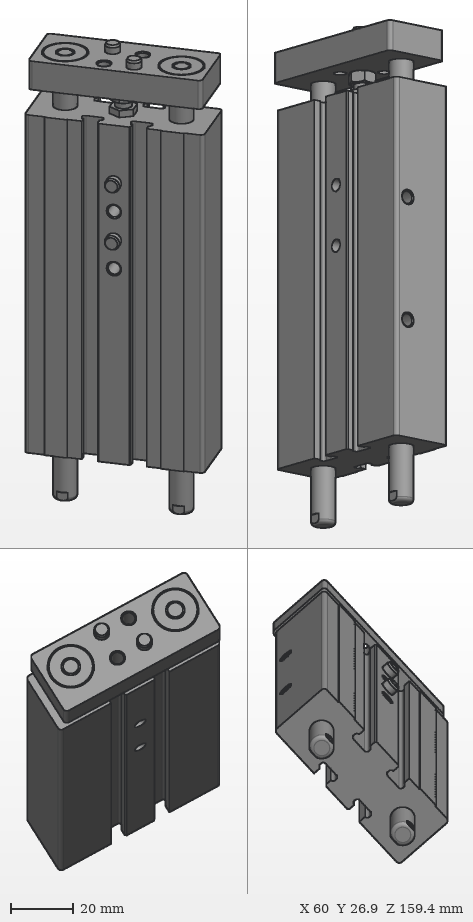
import cadquery as cq
import math


total_height = 159.4
housing_bottom = 19.0
housing_height = 118.8
housing_top = housing_bottom + housing_height

pin_diameter = 5.0
pin_projection = 3.0
pin_depth = 5.0
pin_chamfer = 0.4
pin_chamfer_length = 0.8
hole_diameter = 4.1
hole_pitch = 10.0
hole_chamfer = (pin_diameter - hole_diameter) / 2

housing_width = 60.0
housing_half_depth = 11.0
corner_radius = 1.3
band_width = 7.7
band_height = 0.3
rib_half_width = 5.5
rib_chamfer = 0.5
slot_outer_x = 10.8
slot_center_x = (rib_half_width + slot_outer_x) / 2
slot_width = slot_outer_x - rib_half_width
slot_depth = 5.0
slot_lip = 2.5
slot_undercut = 1.0
slot_corner_radius = 1.0

row_drop = 20.2
side_hole_y = 6.0
side_hole_heights = (57.9, 98.5)
side_hole_depth = 7.5
drill_point_angle = 118.0

plate_width = 58.0
plate_back = 12.9
plate_front = -9.9
plate_thickness = 10.0
plate_top = total_height - pin_projection
plate_bottom = plate_top - plate_thickness

stud_diameter = 5.5
hex_flats = 8.0
hex_corners = hex_flats / math.cos(math.pi / 6)
nut_height = 4.0
nut_face_diameter = 7.5
nut_chamfer_height = 0.5
collar_height = 2.4

rod_x = 19.5
rod_diameter = 8.0
rod_foot_radius = 1.5
flat_distance = 7.0
flat_height = 3.3
head_diameter = 14.0
head_seat_diameter = 15.0
head_height = 5.0
end_mark_outer = 6.0
end_mark_inner = 5.0

rod_positions = (-rod_x, rod_x)
row_heights = [housing_top - row_drop - i * hole_pitch for i in range(4)]
front_pin_heights = row_heights[0::2]
front_hole_heights = row_heights[1::2]
half_pitch = hole_pitch / 2
plate_pin_points = [(-half_pitch, half_pitch), (half_pitch, -half_pitch)]
plate_hole_points = [(-half_pitch, -half_pitch), (half_pitch, half_pitch)]
down = cq.Vector(0, 0, -1)
inward_x = cq.Vector(1, 0, 0)
inward_y = cq.Vector(0, 1, 0)


def cylinder(diameter, length, start, direction):
    """A cylinder that runs from start along direction."""
    return cq.Workplane(cq.Solid.makeCylinder(diameter / 2, length, start, direction))


def cone(diameter, end_diameter, length, start, direction):
    """A cone from start along direction."""
    return cq.Workplane(cq.Solid.makeCone(diameter / 2, end_diameter / 2, length, start, direction))


def chamfered_hole(depth, start, direction):
    """The cutter for a plain hole with a small countersink at its mouth."""
    countersink = cone(pin_diameter, hole_diameter, hole_chamfer, start, direction)
    return cylinder(hole_diameter, depth, start, direction).union(countersink)


def locating_pin(surface_point, direction):
    """A pin sunk pin_depth along direction, with a chamfered tip outside."""
    tip = surface_point - direction * pin_projection
    shoulder = tip + direction * pin_chamfer_length
    tip_diameter = pin_diameter - 2 * pin_chamfer
    shank_length = pin_projection + pin_depth - pin_chamfer_length
    shank = cylinder(pin_diameter, shank_length, shoulder, direction)
    return shank.union(cone(tip_diameter, pin_diameter, pin_chamfer_length, tip, direction)).val()


def housing_box(width, depth, x, y):
    """A bar of the full housing height, centred on x and y."""
    bar = cq.Workplane("XY", origin=(x, y, housing_bottom))
    return bar.rect(width, depth).extrude(housing_height)


def t_slot(side_x, side_y):
    """The cutter for a full-length T-slot on the side_x half of the side_y face."""
    x = side_x * slot_center_x
    mouth = housing_box(slot_width, slot_depth, x, side_y * (housing_half_depth - slot_depth / 2))
    cavity_depth = slot_depth - slot_lip
    cavity_y = side_y * (housing_half_depth - slot_lip - cavity_depth / 2)
    cavity = housing_box(slot_width + 2 * slot_undercut, cavity_depth, x, cavity_y)
    cavity = cavity.edges("|Z").fillet(slot_corner_radius)
    rib_x = side_x * rib_half_width
    face_y = side_y * housing_half_depth
    rib_corner = (
        cq.Workplane("XY", origin=(0, 0, housing_bottom))
        .moveTo(rib_x, face_y)
        .lineTo(rib_x - side_x * rib_chamfer, face_y)
        .lineTo(rib_x, face_y - side_y * rib_chamfer)
        .close()
        .extrude(housing_height)
    )
    return mouth.union(cavity).union(rib_corner)


def make_housing():
    depth = 2 * housing_half_depth
    body = housing_box(housing_width, depth - band_height, 0, band_height / 2)
    body = body.edges("|Z").fillet(corner_radius)

    strip_y = -housing_half_depth + band_height / 2
    body = body.union(housing_box(2 * rib_half_width, band_height, 0, strip_y))
    for x in rod_positions:
        body = body.union(housing_box(band_width, band_height, x, strip_y))

    for side_x in (-1, 1):
        for side_y in (-1, 1):
            body = body.cut(t_slot(side_x, side_y))

    for x in rod_positions:
        start = cq.Vector(x, 0, housing_top)
        body = body.cut(cylinder(rod_diameter, housing_height, start, down))

    for z in front_pin_heights:
        seat = cylinder(pin_diameter, pin_depth, cq.Vector(0, -housing_half_depth, z), inward_y)
        body = body.cut(seat)
    for z in front_hole_heights:
        body = body.cut(chamfered_hole(depth, cq.Vector(0, -housing_half_depth, z), inward_y))

    point_length = hole_diameter / 2 / math.tan(math.radians(drill_point_angle / 2))
    for z in side_hole_heights:
        mouth = cq.Vector(-housing_width / 2, side_hole_y, z)
        point_start = mouth + inward_x * side_hole_depth
        body = body.cut(chamfered_hole(side_hole_depth, mouth, inward_x))
        body = body.cut(cone(hole_diameter, 0, point_length, point_start, inward_x))
    return body.val()


def hexagon(height, z):
    """A hexagonal prism on the Z axis with two flats facing along X."""
    prism = cq.Workplane("XY", origin=(0, 0, z)).polygon(6, hex_corners).extrude(height)
    return prism.rotate((0, 0, 0), (0, 0, 1), 30)


def lock_nut():
    """A hexagon nut with both faces chamfered to a circle."""
    nut_z = plate_bottom - nut_height
    chamfer_width = (hex_corners - nut_face_diameter) / 2
    envelope = cylinder(hex_corners, nut_height, cq.Vector(0, 0, plate_bottom), down)
    envelope = envelope.faces("<Z or >Z").chamfer(nut_chamfer_height, chamfer_width)
    return hexagon(nut_height, nut_z).intersect(envelope)


def make_yoke():
    plate_center_y = (plate_back + plate_front) / 2
    plate = cq.Workplane("XY", origin=(0, plate_center_y, plate_bottom))
    plate = plate.rect(plate_width, plate_back - plate_front).extrude(plate_thickness)
    plate = plate.edges("|Z").fillet(corner_radius)

    for x in rod_positions:
        top = cq.Vector(x, 0, plate_top)
        plate = plate.cut(cylinder(rod_diameter, plate_thickness, top, down))
        plate = plate.cut(cylinder(head_seat_diameter, head_height, top, down))

    for x, y in plate_pin_points:
        plate = plate.cut(cylinder(pin_diameter, pin_depth, cq.Vector(x, y, plate_top), down))
    for x, y in plate_hole_points:
        plate = plate.cut(chamfered_hole(plate_thickness, cq.Vector(x, y, plate_top), down))

    stud_length = plate_bottom - housing_top
    stud = cylinder(stud_diameter, stud_length, cq.Vector(0, 0, plate_bottom), down)
    collar = hexagon(collar_height, housing_top)
    return plate.union(stud).union(lock_nut()).union(collar).val()


def make_guide_rod(x):
    rod = cq.Workplane("XY").circle(rod_diameter / 2).extrude(plate_top)
    rod = rod.faces("<Z").edges().fillet(rod_foot_radius)

    foot = cq.Workplane("XY").rect(rod_diameter, rod_diameter).extrude(flat_height)
    foot = foot.cut(cq.Workplane("XY").rect(rod_diameter, flat_distance).extrude(flat_height))
    rod = rod.cut(foot)

    head = cylinder(head_diameter, head_height, cq.Vector(0, 0, plate_top), down)

    groove_depth = (end_mark_outer - end_mark_inner) / 2
    groove_bottom = cq.Vector(0, 0, plate_top - groove_depth)
    up = cq.Vector(0, 0, 1)
    groove = cylinder(end_mark_outer, groove_depth, groove_bottom, up)
    groove = groove.cut(cone(end_mark_outer, end_mark_inner, groove_depth, groove_bottom, up))
    return rod.union(head).cut(groove).translate((x, 0, 0)).val()


housing = make_housing()
yoke = make_yoke()
guide_rods = [make_guide_rod(x) for x in rod_positions]
front_pins = [locating_pin(cq.Vector(0, -housing_half_depth, z), inward_y) for z in front_pin_heights]
plate_pins = [locating_pin(cq.Vector(x, y, plate_top), down) for x, y in plate_pin_points]

result = cq.Compound.makeCompound([housing, yoke, *guide_rods, *front_pins, *plate_pins])